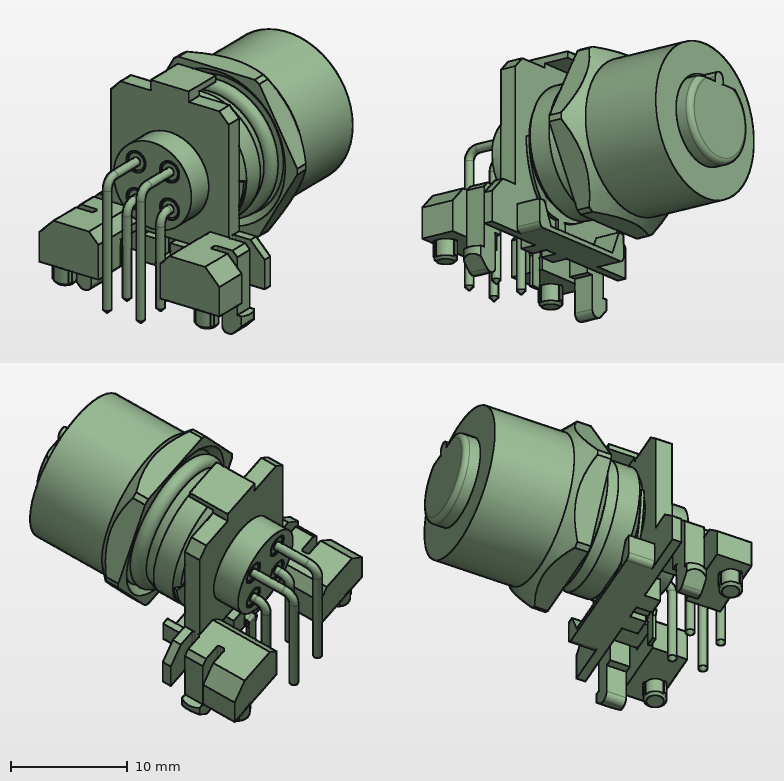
import cadquery as cq
import math


carrier_radius = 4.1
carrier_front_y = -2.55
nose_end_y = 18.79
nose_edge_radius = 0.5
nose_flat_z = 3.1
key_width = 1.1

pin_diameter = 0.8
pin_radius = pin_diameter / 2
pin_circle_radius = 2.5
pin_offset = pin_circle_radius * math.cos(math.radians(45))
pin_bend_radius = 1.0
pin_end_z = -10.95
pin_tip_chamfer = 0.38
upper_pin_drop_y = -6.77
lower_pin_drop_y = -3.85
barrel_diameter = 1.65
barrel_length = 4.0
recess_diameter = 2.0
recess_depth = 0.1
recess_floor_y = carrier_front_y + recess_depth

plate_thickness = 1.55
plate_half_width = 6.2
plate_top_z = 7.5
plate_bottom_z = -5.95
plate_chamfer = 1.0
lip_half_width = 2.0
lip_top_z = 8.5
lip_thickness = 0.6
lip_back_y = 4.0

foot_top_z = -4.2
base_z = -8.5
foot_front_y = -6.0
foot_inner_x = 3.25
foot_outer_x = 9.5
foot_inner_chamfer = 1.0
foot_outer_chamfer = 1.5
slot_bottom_x = 6.2
slot_corner_radius = 0.2
wing_front_y = 0.7
foot_block_back_y = -2.7

latch_front_y = -1.95
latch_back_y = -0.08
latch_mid_y = (latch_front_y + latch_back_y) / 2
latch_outer_x = 8.5
latch_chamfer = 0.5
latch_inner_x = 6.9
latch_bottom_z = -12.2
latch_tip_radius = 0.6
hook_top_z = -10.2
hook_edge_height = 0.65
hook_reach_x = 9.27
hook_bulge = 0.33

post_x = 7.48
post_y = -4.97
post_radius = 1.0
post_rib_radius = 1.1
post_rib_width = 0.35
post_rib_angles = (90, 210, 330)
post_end_z = -10.25
post_chamfer = 0.35

guide_inner_x = 0.63
guide_outer_x = 2.24
guide_front_y = -0.8
window_top_z = -7.6
window_bottom_z = -8.05
tray_half_width = 5.97
tray_rim_half_width = 5.3
tray_floor_half_width = 4.36
tray_floor_z = -8.05
tray_edge_radius = 0.5

sleeve_radius = 7.0
sleeve_end_y = 17.25
hex_across_flats = 15.0
hex_corner_radius = 8.5
hex_back_y = 6.92
hex_cone_end_y = 9.7
seal_groove_radius = 7.24
seal_groove_depth = 0.7
neck_radius = 5.66
collar_radius = 5.98
collar_back_y = 5.0
collar_front_y = 2.45
collar_chamfer = 0.52

seal_tube_radius = 0.73
seal_ring_radius = 5.75
seal_y = 6.7
seal_seat_y = seal_y - seal_tube_radius
seal_seat_radius = seal_ring_radius - seal_tube_radius

spring_thickness = 0.3
spring_outer_radius = 5.97
spring_inner_radius = 4.85
spring_bend_x = 2.23
spring_slope = 0.265
prong_half_width = 0.49
prong_head_half_width = 0.7
prong_head_z = -8.05
prong_taper_z = -8.6
prong_end_z = -11.35
prong_front_y = -1.2
prong_top_z = -7.65


def box(x0, x1, y0, y1, z0, z1):
    """Box spanning the given limits."""
    size = (x1 - x0, y1 - y0, z1 - z0)
    return cq.Workplane("XY").box(*size, centered=False).translate((x0, y0, z0))


def disc(radius, y0, y1, x=0, z=0):
    """Cylinder parallel to Y from y0 to y1."""
    return cq.Workplane("XZ", origin=(x, y0, z)).circle(radius).extrude(y0 - y1)


def plate_profile(points, y0, y1):
    """Closed XZ outline extruded from y0 to y1."""
    return cq.Workplane("XZ", origin=(0, y0, 0)).polyline(points).close().extrude(y0 - y1)


def mirrored(body):
    """The body together with its mirror image across X = 0."""
    return body.union(body.mirror("YZ"))


def make_carrier():
    carrier = disc(carrier_radius, carrier_front_y, nose_end_y)
    carrier = carrier.faces(">Y").edges().fillet(nose_edge_radius)
    carrier = carrier.cut(
        box(-carrier_radius, carrier_radius, sleeve_end_y, nose_end_y, nose_flat_z, carrier_radius)
    )
    key_radius = key_width / 2
    key_center_z = carrier_radius - key_radius
    key = disc(key_radius, sleeve_end_y, nose_end_y, z=key_center_z)
    key_foot = box(-key_radius, key_radius, sleeve_end_y, nose_end_y, 0, key_center_z)
    return carrier.union(key).union(key_foot)


def make_plate():
    shoulder_x = plate_half_width - plate_chamfer
    outline = [
        (-plate_half_width, plate_bottom_z),
        (plate_half_width, plate_bottom_z),
        (plate_half_width, plate_top_z - plate_chamfer),
        (shoulder_x, plate_top_z),
        (-shoulder_x, plate_top_z),
        (-plate_half_width, plate_top_z - plate_chamfer),
    ]
    plate = plate_profile(outline, 0, plate_thickness)
    riser = box(-lip_half_width, lip_half_width, 0, plate_thickness, 0, lip_top_z)
    lip = box(-lip_half_width, lip_half_width, 0, lip_back_y, lip_top_z - lip_thickness, lip_top_z)
    return plate.union(riser).union(lip)


def make_latch():
    """Latch arm with a hook whose nose is rounded in plan."""
    arm = box(slot_bottom_x, latch_outer_x, latch_front_y, latch_back_y, base_z, foot_top_z)
    arm = arm.edges(">X and >Z").chamfer(latch_chamfer)
    hook_edge_z = hook_top_z - hook_edge_height
    tip_x = hook_reach_x - (hook_edge_z - latch_bottom_z)
    outline = [
        (latch_inner_x, base_z),
        (latch_outer_x, base_z),
        (latch_outer_x, hook_top_z),
        (hook_reach_x, hook_top_z),
        (hook_reach_x, hook_edge_z),
        (tip_x, latch_bottom_z),
        (latch_inner_x, latch_bottom_z),
    ]
    hook = plate_profile(outline, latch_front_y, latch_back_y)
    hook = hook.faces("<Z").edges("|Y").fillet(latch_tip_radius)
    nose_edge_x = hook_reach_x - hook_bulge
    plan = (
        cq.Workplane("XY", origin=(0, 0, latch_bottom_z))
        .moveTo(0, latch_front_y)
        .lineTo(nose_edge_x, latch_front_y)
        .threePointArc((hook_reach_x, latch_mid_y), (nose_edge_x, latch_back_y))
        .lineTo(0, latch_back_y)
        .close()
        .extrude(base_z - latch_bottom_z)
    )
    return arm.union(hook.intersect(plan))


def make_post():
    """Locating post with crush ribs around it, chamfered at its end."""
    height = base_z - post_end_z
    post = cq.Workplane("XY").circle(post_radius).extrude(height)
    for angle in post_rib_angles:
        rib = cq.Workplane("XY").center(post_rib_radius / 2, 0).rect(post_rib_radius, post_rib_width)
        post = post.union(rib.extrude(height).rotate((0, 0, 0), (0, 0, 1), angle))
    envelope = cq.Workplane("XY").circle(post_rib_radius).extrude(height)
    envelope = envelope.faces("<Z").chamfer(post_chamfer)
    return post.intersect(envelope).translate((post_x, post_y, post_end_z))


def make_foot():
    """Foot on the +X side: block, bridge, wing, latch and post."""
    outline = [
        (foot_inner_x, base_z),
        (foot_outer_x, base_z),
        (foot_outer_x, foot_top_z - foot_outer_chamfer),
        (foot_outer_x - foot_outer_chamfer, foot_top_z),
        (foot_inner_x + foot_inner_chamfer, foot_top_z),
        (foot_inner_x, foot_top_z - foot_inner_chamfer),
    ]
    foot = plate_profile(outline, foot_front_y, plate_thickness)
    foot = foot.cut(box(0, foot_outer_x, foot_block_back_y, wing_front_y, base_z, plate_bottom_z))
    for y0, y1 in ((foot_block_back_y, latch_front_y), (latch_back_y, wing_front_y)):
        slot = box(slot_bottom_x, foot_outer_x, y0, y1, base_z, foot_top_z)
        foot = foot.cut(slot.edges("<X and |Z").fillet(slot_corner_radius))
    foot = foot.cut(box(slot_bottom_x, foot_outer_x, latch_front_y, latch_back_y, base_z, foot_top_z))
    foot = foot.union(make_latch()).union(make_post())
    return foot


def make_lower_frame():
    """Web under the plate, guide blocks for the prong and the tray behind."""
    web = box(-plate_half_width, plate_half_width, wing_front_y, plate_thickness, base_z, plate_bottom_z)
    guide = box(guide_inner_x, guide_outer_x, guide_front_y, wing_front_y, base_z, plate_bottom_z)
    tray = box(-tray_half_width, tray_half_width, plate_thickness, lip_back_y, base_z, plate_bottom_z)
    tray = tray.edges("|Y and <Z").fillet(tray_edge_radius)
    trough = [
        (-tray_rim_half_width, plate_bottom_z),
        (-tray_floor_half_width, tray_floor_z),
        (tray_floor_half_width, tray_floor_z),
        (tray_rim_half_width, plate_bottom_z),
    ]
    tray = tray.cut(plate_profile(trough, plate_thickness, lip_back_y))
    window = box(
        -guide_inner_x, guide_inner_x, wing_front_y, plate_thickness, window_bottom_z, window_top_z
    )
    return web.union(mirrored(guide)).union(tray).cut(window)


def make_pin(x, z, drop_y):
    """Right-angle contact: barrel in the carrier, bent wire with a pointed end."""
    bend_start_y = drop_y + pin_bend_radius
    bend_end_z = z - pin_bend_radius
    diagonal = pin_bend_radius * math.sin(math.radians(45))
    path = (
        cq.Workplane("YZ", origin=(x, 0, 0))
        .moveTo(recess_floor_y, z)
        .lineTo(bend_start_y, z)
        .threePointArc((bend_start_y - diagonal, bend_end_z + diagonal), (drop_y, bend_end_z))
        .lineTo(drop_y, pin_end_z)
    )
    wire = cq.Workplane("XZ", origin=(x, recess_floor_y, z)).circle(pin_radius).sweep(path)
    wire = wire.faces("<Z").chamfer(pin_tip_chamfer)
    barrel = disc(barrel_diameter / 2, recess_floor_y, recess_floor_y + barrel_length, x, z)
    return barrel.union(wire)


def make_housing():
    """Carrier, plate, feet and lower frame moulded as one piece."""
    housing = make_plate().union(make_carrier()).union(mirrored(make_foot())).union(make_lower_frame())
    for x in (-pin_offset, pin_offset):
        for z in (-pin_offset, pin_offset):
            bore_end_y = recess_floor_y + barrel_length
            housing = housing.cut(disc(recess_diameter / 2, carrier_front_y, recess_floor_y, x, z))
            housing = housing.cut(disc(barrel_diameter / 2, recess_floor_y, bore_end_y, x, z))
    return housing


def make_sleeve():
    """Sleeve, hexagon, seal groove and rear collar around the carrier."""
    groove_floor_y = hex_back_y + seal_groove_depth
    chamfer_y = collar_front_y + collar_chamfer
    core = (
        cq.Workplane("XY")
        .polyline([
            (carrier_radius, collar_front_y),
            (collar_radius - collar_chamfer, collar_front_y),
            (collar_radius, chamfer_y),
            (collar_radius, collar_back_y),
            (neck_radius, seal_seat_y),
            (seal_seat_radius, seal_seat_y),
            (seal_seat_radius, groove_floor_y),
            (seal_groove_radius - seal_groove_depth, groove_floor_y),
            (seal_groove_radius, hex_back_y),
            (hex_corner_radius, hex_back_y),
            (hex_corner_radius, hex_cone_end_y - (hex_corner_radius - sleeve_radius)),
            (sleeve_radius, hex_cone_end_y),
            (sleeve_radius, sleeve_end_y),
            (carrier_radius, sleeve_end_y),
        ])
        .close()
        .revolve(360, (0, 0), (0, 1))
    )
    corner_diameter = hex_across_flats / math.cos(math.radians(30))
    hexagon = (
        cq.Workplane("XZ", origin=(0, collar_front_y, 0))
        .polygon(6, corner_diameter)
        .extrude(collar_front_y - sleeve_end_y)
    )
    return core.intersect(hexagon)


def make_seal():
    """Round-section seal ring around the neck of the shell."""
    return (
        cq.Workplane("XY")
        .center(seal_ring_radius, seal_y)
        .circle(seal_tube_radius)
        .revolve(360, (-seal_ring_radius, 0), (-seal_ring_radius, 1))
    )


def make_spring():
    """Half-ring of sheet bent back on both sides, with a prong led out below."""
    back_y = plate_thickness + spring_thickness
    arm_rise = spring_slope * (spring_outer_radius - spring_bend_x)
    strip = (
        cq.Workplane("XY", origin=(0, 0, -spring_outer_radius))
        .polyline([
            (-spring_outer_radius, plate_thickness + arm_rise),
            (-spring_bend_x, plate_thickness),
            (spring_bend_x, plate_thickness),
            (spring_outer_radius, plate_thickness + arm_rise),
            (spring_outer_radius, back_y + arm_rise),
            (spring_bend_x, back_y),
            (-spring_bend_x, back_y),
            (-spring_outer_radius, back_y + arm_rise),
        ])
        .close()
        .extrude(spring_outer_radius)
    )
    ring = disc(spring_outer_radius, 0, hex_back_y).cut(disc(spring_inner_radius, 0, hex_back_y))
    sheet = strip.intersect(ring)

    tongue_bottom_z = prong_top_z - spring_thickness
    prong_back_y = prong_front_y + spring_thickness
    tongue = box(
        -prong_half_width, prong_half_width, plate_thickness, back_y, tongue_bottom_z, -spring_inner_radius
    )
    bridge = box(
        -prong_half_width, prong_half_width, prong_front_y, back_y, tongue_bottom_z, prong_top_z
    )
    drop = box(-prong_half_width, prong_half_width, prong_front_y, prong_back_y, prong_end_z, prong_top_z)
    lead = bridge.union(drop).clean().edges("<Y and >Z").fillet(spring_thickness)
    head_outline = [
        (-prong_head_half_width, prong_head_z),
        (prong_head_half_width, prong_head_z),
        (prong_half_width, prong_taper_z),
        (-prong_half_width, prong_taper_z),
    ]
    head = plate_profile(head_outline, prong_front_y, prong_back_y)
    return sheet.union(tongue).union(lead).union(head)


def make_shell():
    """Metal shell with the shield spring joined to its rear collar."""
    return make_sleeve().union(make_spring())


housing = make_housing()
shell = make_shell()
seal = make_seal()
pins = []
for pin_z, pin_drop_y in ((pin_offset, upper_pin_drop_y), (-pin_offset, lower_pin_drop_y)):
    for pin_x in (-pin_offset, pin_offset):
        pins.append(make_pin(pin_x, pin_z, pin_drop_y).solids().val())

result = cq.Compound.makeCompound([
    housing.solids().val(),
    shell.solids().val(),
    seal.solids().val(),
    *pins,
])